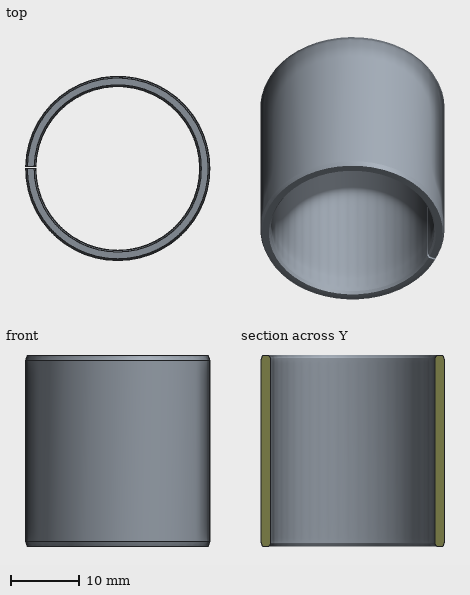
import cadquery as cq

length = 28.0
outer_diameter = 27.0
bore_diameter = 24.0

outer_chamfer_height = 0.73
outer_chamfer_depth = 0.25
bore_chamfer_height = 0.45
bore_chamfer_depth = 0.25

seam_width = 0.28

outer_radius = outer_diameter / 2
bore_radius = bore_diameter / 2


def bushing_ring():
    """Revolve the wall section, bevelled at all four corners."""
    land_outer = outer_radius - outer_chamfer_depth
    land_inner = bore_radius + bore_chamfer_depth
    section = [
        (land_inner, 0),
        (land_outer, 0),
        (outer_radius, outer_chamfer_height),
        (outer_radius, length - outer_chamfer_height),
        (land_outer, length),
        (land_inner, length),
        (bore_radius, length - bore_chamfer_height),
        (bore_radius, bore_chamfer_height),
    ]
    return cq.Workplane("XZ").polyline(section).close().revolve(360, (0, 0), (0, 1))


def seam_cutter():
    """Thin slab from the axis out past the -X side of the wall."""
    slab = cq.Workplane("XY").box(outer_radius, seam_width, length, centered=False)
    return slab.translate((-outer_radius, 0, 0))


result = bushing_ring().cut(seam_cutter())